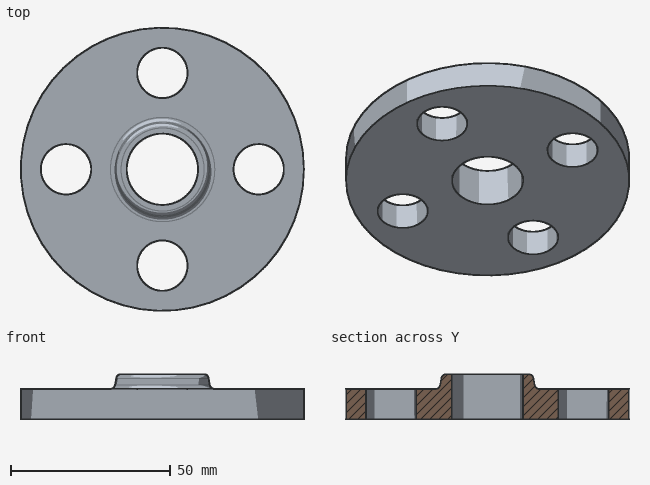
import cadquery as cq

flange_diameter = 88.9
total_height = 14.2
disc_thickness = 9.6

hub_base_radius = 15.1
hub_top_radius = 14.3
hub_round_radius = 1.5

bore_diameter = 22.3
bolt_hole_diameter = 15.7
bolt_circle_diameter = 60.4
bolt_count = 4


def make_body():
    """Revolve the disc and hub in one piece, then round the hub's lip and root."""
    flange_radius = flange_diameter / 2
    body = (
        cq.Workplane("XZ")
        .lineTo(flange_radius, 0)
        .lineTo(flange_radius, disc_thickness)
        .lineTo(hub_base_radius, disc_thickness)
        .lineTo(hub_top_radius, total_height)
        .lineTo(0, total_height)
        .close()
        .revolve(360, (0, 0, 0), (0, 1, 0))
    )
    root_edge = cq.selectors.RadiusNthSelector(1)
    body = body.edges(root_edge).fillet(hub_round_radius)
    return body.edges(">Z").fillet(hub_round_radius)


def drill_bore(body):
    """Cut the central bore through the disc and hub."""
    return body.faces("<Z").workplane(origin=(0, 0, 0)).hole(bore_diameter)


def drill_bolt_holes(body):
    """Cut the evenly spaced bolt holes through the disc."""
    return (
        body.faces("<Z")
        .workplane(origin=(0, 0, 0))
        .polarArray(bolt_circle_diameter / 2, 0, 360, bolt_count)
        .hole(bolt_hole_diameter)
    )


result = drill_bolt_holes(drill_bore(make_body()))